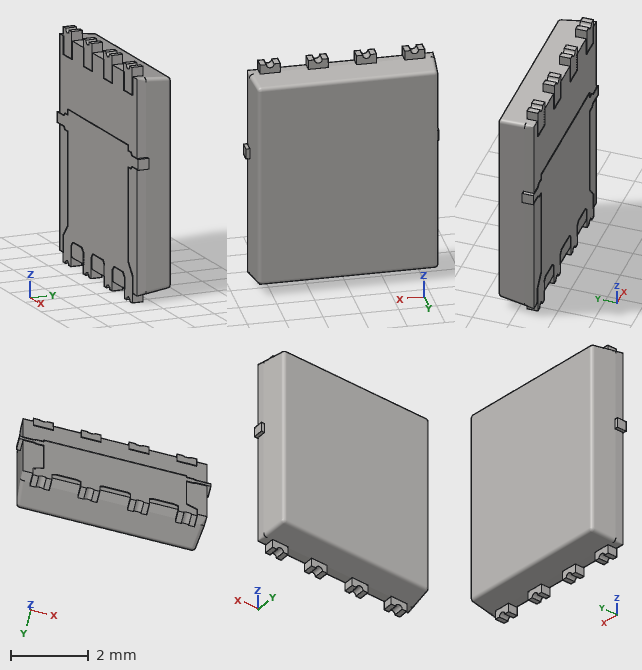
import cadquery as cq

height = 6.3
width = 5.1
thickness = 1.02
front = -thickness / 2

lead_reach = 0.25
tab_reach = 0.1
pad_standoff = 0.02
band_depth = 0.25
draft = 6.0
corner_radius = 0.1
sharp_radius = 0.003

body_width = width - 2 * tab_reach
body_height = height - 2 * lead_reach
body_front = front + pad_standoff
band_back = body_front + band_depth
shell_depth = thickness / 2 - band_back

metal_thickness = 0.3
notch_radius = 0.1
top_lead_width = 0.53
top_lead_length = 0.745
top_lead_pitch = 1.27

pad_half_width = 1.9
pad_top = 1.01
flare_top = -2.105
foot_top = -2.43
tab_centre = 0.635
tab_half_height = 0.145
tab_root_half_height = 0.22
tab_root_half_width = 2.08
tab_neck_half_width = 2.155

bottom_lead_width = 0.51
inner_lead_x = 0.66
outer_lead_x = 1.935
bottom_lead_centres = (-outer_lead_x, -inner_lead_x, inner_lead_x, outer_lead_x)
pad_foot_half_width = outer_lead_x + bottom_lead_width / 2
gap_top = -2.47
gap_corner_height = 0.11
outer_gap_corner_width = 0.11
middle_gap_corner_width = 0.075


def plane_at(y):
    """Sketch plane facing +Y whose local axes are (X, -Z)."""
    return cq.Workplane(cq.Plane(origin=(0, y, 0), xDir=(1, 0, 0), normal=(0, 1, 0)))


def front_plane():
    """Sketch plane on the metal's front face, local axes (X, Z); extrude a negative length into the part."""
    return cq.Workplane("XZ", origin=(0, front, 0))


def rounded_outline(radius):
    return cq.Sketch().rect(body_width, body_height).vertices().fillet(radius)


def make_body():
    band = (
        plane_at(body_front)
        .placeSketch(
            rounded_outline(sharp_radius),
            rounded_outline(corner_radius).moved(cq.Location(cq.Vector(0, 0, band_depth))),
        )
        .loft(ruled=True)
    )
    shell = (
        plane_at(band_back)
        .rect(body_width, body_height)
        .extrude(shell_depth, taper=draft)
        .edges("not #Y")
        .fillet(corner_radius)
        .faces(">Y")
        .edges()
        .fillet(corner_radius)
    )
    return band.union(shell)


def notch(x_centre, z_end):
    """Round notch through the end of a lead."""
    return front_plane().center(x_centre, z_end).circle(notch_radius).extrude(-metal_thickness)


def make_top_leads():
    lead_z = height / 2 - top_lead_length / 2
    lead_positions = [(step * top_lead_pitch, lead_z) for step in (-1.5, -0.5, 0.5, 1.5)]
    leads = (
        front_plane()
        .pushPoints(lead_positions)
        .rect(top_lead_width, top_lead_length)
        .extrude(-metal_thickness)
    )
    for x, _ in lead_positions:
        leads = leads.cut(notch(x, height / 2))
    return leads


def gap_between_leads(left_lead_x, right_lead_x, corner_width):
    """Cutter between two bottom leads, with bevelled upper corners."""
    x_left = left_lead_x + bottom_lead_width / 2
    x_right = right_lead_x - bottom_lead_width / 2
    outline = [
        (x_left, -height / 2),
        (x_left, gap_top - gap_corner_height),
        (x_left + corner_width, gap_top),
        (x_right - corner_width, gap_top),
        (x_right, gap_top - gap_corner_height),
        (x_right, -height / 2),
    ]
    return front_plane().polyline(outline).close().extrude(-metal_thickness)


def make_pad():
    half_outline = [
        (0, pad_top),
        (pad_half_width, pad_top),
        (pad_half_width, tab_centre + tab_root_half_height),
        (tab_root_half_width, tab_centre + tab_root_half_height),
        (tab_neck_half_width, tab_centre + tab_half_height),
        (width / 2, tab_centre + tab_half_height),
        (width / 2, tab_centre - tab_half_height),
        (tab_neck_half_width, tab_centre - tab_half_height),
        (tab_root_half_width, tab_centre - tab_root_half_height),
        (pad_half_width, tab_centre - tab_root_half_height),
        (pad_half_width, flare_top),
        (pad_foot_half_width, foot_top),
        (pad_foot_half_width, -height / 2),
        (0, -height / 2),
    ]
    pad = front_plane().polyline(half_outline).mirrorY().extrude(-metal_thickness)
    pad = pad.cut(gap_between_leads(-outer_lead_x, -inner_lead_x, outer_gap_corner_width))
    pad = pad.cut(gap_between_leads(-inner_lead_x, inner_lead_x, middle_gap_corner_width))
    pad = pad.cut(gap_between_leads(inner_lead_x, outer_lead_x, outer_gap_corner_width))
    for x in bottom_lead_centres:
        pad = pad.cut(notch(x, -height / 2))
    return pad


result = make_body().union(make_top_leads()).union(make_pad())